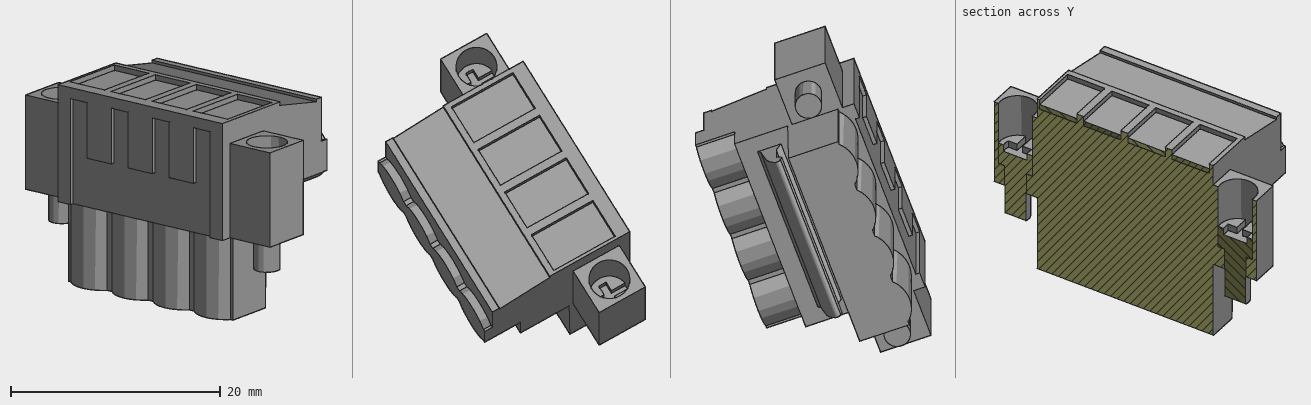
import cadquery as cq
import math


pole_count = 4
pole_pitch = 5.0
body_width = pole_count * pole_pitch
pole_xs = [(i - (pole_count - 1) / 2) * pole_pitch for i in range(pole_count)]

body_height = 11.7
top_depth = 8.88
slope_front_z = 11.35
slope_rear_z = 10.35
lip_front_y = 14.45
lip_z = 10.6
rear_y = 15.25
skirt_y = 12.13

entry_rear_y = 16.1
entry_bottom_z = 3.07
entry_top_z = 6.2
entry_lobe_width = 4.53
entry_lobe_rise = 1.2

plug_height = 8.37
plug_front_y = 1.6
plug_rear_y = 6.73
plug_draft = 0.1
plug_lobe_width = 4.4
plug_lobe_rise = 0.92

recess_width = 17.0
recess_height = 10.6
recess_depth = 0.4
rib_width = 2.95
rib_bottom_z = 5.05

latch_width = recess_width
latch_root_rear = (10.35, 0)
latch_neck_rear = (10.0, -0.42)
latch_back_mid = (9.77, -1.45)
latch_back_end = (9.42, -2.98)
latch_bend_mid = (9.12, -3.58)
latch_bend_end = (8.65, -4.17)
latch_tip = (8.35, -4.32)
latch_tip_front = (8.08, -4.15)
latch_hook_bottom = (8.02, -3.9)
latch_hook_nose = (7.87, -3.65)
latch_hook_top = (8.02, -3.37)
latch_stem_bottom = (8.43, -2.95)
latch_stem_top = (8.43, -1.13)
latch_root_front = (7.95, 0)

pocket_width = 4.2
pocket_front_y = 1.43
pocket_length = 6.82
pocket_shift = -0.1
cover_recess = 0.55
cover_thickness = 0.55

overall_width = 29.8
flange_width = (overall_width - body_width) / 2
flange_front_y = 1.15
flange_depth = 5.13
flange_height = 9.45

screw_x = 12.5
screw_y = flange_front_y + flange_depth / 2
head_diameter = 3.9
head_bottom_z = 2.38
head_height = 2.38
shank_diameter = 2.53
shank_length = 3.22
drive_depth = 0.75
drive_slot_width = 0.63
drive_cross_width = 0.8
drive_cross_inner = 1.3
drive_cross_outer = 1.37


def box(x_size, y_size, z_size, x, y, z):
    """Box centred on x, starting at y and z."""
    return cq.Workplane("XY").box(x_size, y_size, z_size, centered=(True, False, False)).translate((x, y, z))


def cylinder(diameter, bottom_z, top_z):
    """Upright cylinder on the axis of the screw at +X."""
    plane = cq.Workplane("XY", origin=(screw_x, screw_y, bottom_z))
    return plane.circle(diameter / 2).extrude(top_z - bottom_z)


def mirrored_pair(shape):
    """The shape at +X and its mirror image at -X."""
    return [shape, shape.mirror("YZ")]


def lobe(workplane, x, base, width, rise):
    """Circular segment standing on a chord at base, bulging by rise along the plane's second axis."""
    return (
        workplane.moveTo(x - width / 2, base)
        .threePointArc((x, base + rise), (x + width / 2, base))
        .close()
    )


def make_shell():
    outline = [
        (0, 0),
        (0, body_height),
        (top_depth, body_height),
        (top_depth, slope_front_z),
        (lip_front_y, slope_rear_z),
        (lip_front_y, lip_z),
        (rear_y, lip_z),
        (rear_y, entry_top_z),
        (entry_rear_y, entry_top_z),
        (entry_rear_y, entry_bottom_z),
        (skirt_y, entry_bottom_z),
        (skirt_y, 0),
    ]
    return cq.Workplane("YZ").polyline(outline).close().extrude(body_width / 2, both=True)


def add_entry_lobes(housing):
    """Rounded upper and lower sides of the wire entries, one pair per pole."""
    rear_plane = cq.Workplane("XZ", origin=(0, entry_rear_y, 0))
    length = entry_rear_y - skirt_y
    for x in pole_xs:
        for base, rise in ((entry_top_z, entry_lobe_rise), (entry_bottom_z, -entry_lobe_rise)):
            housing = housing.union(lobe(rear_plane, x, base, entry_lobe_width, rise).extrude(length))
    return housing


def make_plug():
    outline = [
        (plug_front_y, 0),
        (plug_rear_y, 0),
        (plug_rear_y - plug_draft, -plug_height),
        (plug_front_y, -plug_height),
    ]
    plug = cq.Workplane("YZ").polyline(outline).close().extrude(body_width / 2, both=True)
    plane = cq.Workplane("XY")
    for x in pole_xs:
        segment = lobe(plane, x, plug_front_y, plug_lobe_width, -plug_lobe_rise)
        plug = plug.union(segment.extrude(-plug_height))
    return plug


def make_latch():
    """Curved latch finger with a rounded hook at its tip, hooking toward the plug."""
    return (
        cq.Workplane("YZ")
        .moveTo(*latch_root_rear)
        .lineTo(*latch_neck_rear)
        .threePointArc(latch_back_mid, latch_back_end)
        .threePointArc(latch_bend_mid, latch_bend_end)
        .threePointArc(latch_tip, latch_tip_front)
        .lineTo(*latch_hook_bottom)
        .threePointArc(latch_hook_nose, latch_hook_top)
        .lineTo(*latch_stem_bottom)
        .lineTo(*latch_stem_top)
        .lineTo(*latch_root_front)
        .close()
        .extrude(latch_width / 2, both=True)
    )


def make_comb_recess():
    """Recess cutter: a wide pocket open at the bottom, with a rib left between each two poles."""
    recess = box(recess_width, recess_depth, recess_height, 0, 0, 0)
    rib_height = recess_height - rib_bottom_z
    for left_x, right_x in zip(pole_xs, pole_xs[1:]):
        rib_x = (left_x + right_x) / 2
        rib = box(rib_width, recess_depth, rib_height, rib_x, 0, rib_bottom_z)
        recess = recess.cut(rib)
    return recess


def pocket_block(pole_x, bottom_z, height):
    return box(pocket_width, pocket_length, height, pole_x + pocket_shift, pocket_front_y, bottom_z)


def make_housing():
    housing = make_shell().union(make_plug()).union(make_latch())
    housing = add_entry_lobes(housing)
    housing = housing.cut(make_comb_recess())

    flange_x = (body_width + flange_width) / 2
    flange = box(flange_width, flange_depth, flange_height, flange_x, flange_front_y, 0)
    bore = cylinder(head_diameter, head_bottom_z, flange_height)
    shank_hole = cylinder(shank_diameter, 0, head_bottom_z)
    for side in mirrored_pair(flange.cut(bore).cut(shank_hole)):
        housing = housing.union(side)

    pocket_depth = cover_recess + cover_thickness
    for x in pole_xs:
        housing = housing.cut(pocket_block(x, body_height - pocket_depth, pocket_depth))
    return housing


def make_cover(pole_x):
    return pocket_block(pole_x, body_height - cover_recess - cover_thickness, cover_thickness)


def make_screw():
    """Screw at +X, with a through slot along Y crossed by a short slot along X."""
    head_top_z = head_bottom_z + head_height
    shank = cylinder(shank_diameter, -shank_length, head_bottom_z)
    head = cylinder(head_diameter, head_bottom_z, head_top_z)

    drive_plane = cq.Workplane("XY", origin=(screw_x, screw_y, head_top_z))
    slot = drive_plane.rect(drive_slot_width, head_diameter).extrude(-drive_depth)
    half_width = drive_cross_width / 2
    arc_start_x = math.sqrt(drive_cross_outer**2 - half_width**2)
    cross_slot = (
        drive_plane.moveTo(-drive_cross_inner, -half_width)
        .lineTo(arc_start_x, -half_width)
        .threePointArc((drive_cross_outer, 0), (arc_start_x, half_width))
        .lineTo(-drive_cross_inner, half_width)
        .close()
        .extrude(-drive_depth)
    )
    return shank.union(head).cut(slot).cut(cross_slot)


housing = make_housing()
covers = [make_cover(x) for x in pole_xs]
screws = mirrored_pair(make_screw())

result = cq.Compound.makeCompound(
    [solid for body in [housing, *covers, *screws] for solid in body.solids().vals()]
)